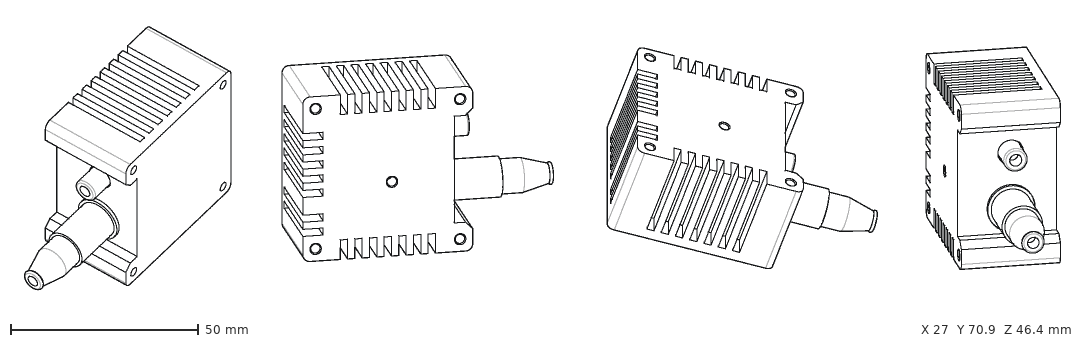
import cadquery as cq

WIDTH = 27.0
SIDE = 46.4
TOTAL_LENGTH = 70.9
CORNER_RADIUS = 2.0

RECESS_DEPTH = 5.0
LIP_HEIGHT = 8.15
LIP_CHAMFER = 2.0

SLOT_COUNT = 7
SLOT_WIDTH = 2.0
SLOT_DEPTH = 5.5
SLOT_ROW_SPAN = 23.95
SLOT_END_WALL = 3.0
BACK_SLOT_SHIFT = 3.0
BACK_SHIFTED_SLOTS = 2

HOLE_DIAMETER = 2.55
HOLE_CHAMFER = 0.3
HOLE_EDGE_OFFSET = 3.5
BLIND_HOLE_DEPTH = 6.0
BLIND_HOLE_FROM_BACK = 24.3
BLIND_HOLE_FROM_TOP = 25.45

FITTING_X = 1.0
BORE_DEPTH = 4.95

SOCKET_FROM_TOP = 15.45
SOCKET_RADIUS = 3.2
SOCKET_LENGTH = 6.6
SOCKET_ROUNDING = 0.5
SOCKET_BORE_RADIUS = 1.6
SOCKET_GAP_RADIUS = 3.5
SOCKET_GAP_DEPTH = 2.0

CABLE_FROM_TOP = 31.0
FLANGE_RADIUS = 6.45
FLANGE_LENGTH = 1.0
SLEEVE_RADIUS = 5.5
SLEEVE_END = 15.2
NECK_RADIUS = 4.75
NECK_END = 21.2
TAPER_TIP_RADIUS = 2.8
BEAD_FACE_RADIUS = 2.55
BEAD_RADIUS = 3.05
BEAD_LENGTH = 1.0
CABLE_BORE_RADIUS = 1.55

HALF = SIDE / 2
FACE_Y = -HALF + RECESS_DEPTH
SLOT_PITCH = SLOT_ROW_SPAN / (SLOT_COUNT - 1)
CABLE_LENGTH = TOTAL_LENGTH - SIDE + RECESS_DEPTH


def make_housing():
    """Rounded block with the front recess cut across its full width."""
    block = cq.Workplane("XY").box(WIDTH, SIDE, SIDE).edges("|X").fillet(CORNER_RADIUS)
    lip_z = HALF - LIP_HEIGHT
    chamfer_z = lip_z + LIP_CHAMFER
    chamfer_y = -HALF + LIP_CHAMFER
    recess = (
        cq.Workplane("YZ")
        .polyline([
            (FACE_Y, lip_z),
            (chamfer_y, lip_z),
            (-HALF, chamfer_z),
            (-HALF, -chamfer_z),
            (chamfer_y, -lip_z),
            (FACE_Y, -lip_z),
        ])
        .close()
        .extrude(WIDTH / 2, both=True)
    )
    return block.cut(recess)


def slot(y, z, size_y, size_z):
    """One slot centred at (y, z), running from the -X face to the end wall."""
    length = WIDTH - SLOT_END_WALL
    return cq.Workplane("XY").box(length, size_y, size_z).translate((-SLOT_END_WALL / 2, y, z))


def cut_slots(body):
    """Matching rows in the top and bottom, and a split row in the back."""
    slot_centre = HALF - SLOT_DEPTH / 2
    for i in range(SLOT_COUNT):
        along = SLOT_ROW_SPAN / 2 - i * SLOT_PITCH
        for side in (1, -1):
            body = body.cut(slot(along, side * slot_centre, SLOT_WIDTH, SLOT_DEPTH))
        shifted = i >= SLOT_COUNT - BACK_SHIFTED_SLOTS
        back_z = along - BACK_SLOT_SHIFT if shifted else along
        body = body.cut(slot(slot_centre, back_z, SLOT_DEPTH, SLOT_WIDTH))
    return body


def screw_hole(y, z, depth):
    """Cutter for a hole sunk from the -X face, with a chamfered mouth."""
    radius = HOLE_DIAMETER / 2
    mouth = radius + HOLE_CHAMFER
    return (
        cq.Workplane("XY")
        .polyline([(0, 0), (0, mouth), (HOLE_CHAMFER, radius), (depth, radius), (depth, 0)])
        .close()
        .revolve(360, (0, 0, 0), (1, 0, 0))
        .translate((-WIDTH / 2, y, z))
    )


def cut_holes(body):
    """Four through holes at the corners and one blind hole near the middle."""
    corner = HALF - HOLE_EDGE_OFFSET
    for y in (corner, -corner):
        for z in (corner, -corner):
            body = body.cut(screw_hole(y, z, WIDTH))
    blind_y = HALF - BLIND_HOLE_FROM_BACK
    blind_z = HALF - BLIND_HOLE_FROM_TOP
    return body.cut(screw_hole(blind_y, blind_z, BLIND_HOLE_DEPTH))


def rod(radius, start, end, end_radius=None):
    """Cylinder or cone about the Y axis, between two distances in front of the recessed face."""
    profile = [(0, -start), (radius, -start), (end_radius or radius, -end), (0, -end)]
    return cq.Workplane("XY").polyline(profile).close().revolve(360, (0, 0, 0), (0, 1, 0))


def place_fitting(fitting, from_top):
    """Move a fitting from the origin onto the recessed face, at a distance below the top."""
    return fitting.translate((FITTING_X, FACE_Y, HALF - from_top))


def make_socket():
    """Short round socket with a rounded rim and a blind bore."""
    socket = rod(SOCKET_RADIUS, -SOCKET_GAP_DEPTH, SOCKET_LENGTH).faces("<Y").edges().fillet(SOCKET_ROUNDING)
    bore = rod(SOCKET_BORE_RADIUS, SOCKET_LENGTH - BORE_DEPTH, SOCKET_LENGTH)
    return place_fitting(socket.cut(bore), SOCKET_FROM_TOP)


def cut_socket_gap(body):
    """Clearance pocket that leaves a narrow ring-shaped gap around the socket."""
    return body.cut(place_fitting(rod(SOCKET_GAP_RADIUS, -SOCKET_GAP_DEPTH, 0), SOCKET_FROM_TOP))


def make_cable_gland():
    """Flange, sleeve, neck and taper in line, ending in a rounded bead with a blind bore."""
    bead_start = CABLE_LENGTH - BEAD_LENGTH
    bead_middle = (BEAD_RADIUS, -(bead_start + CABLE_LENGTH) / 2)
    bead = (
        cq.Workplane("XY")
        .moveTo(0, -bead_start)
        .lineTo(BEAD_FACE_RADIUS, -bead_start)
        .threePointArc(bead_middle, (BEAD_FACE_RADIUS, -CABLE_LENGTH))
        .lineTo(0, -CABLE_LENGTH)
        .close()
        .revolve(360, (0, 0, 0), (0, 1, 0))
    )
    gland = (
        rod(FLANGE_RADIUS, 0, FLANGE_LENGTH)
        .union(rod(SLEEVE_RADIUS, 0, SLEEVE_END))
        .union(rod(NECK_RADIUS, 0, NECK_END))
        .union(rod(NECK_RADIUS, NECK_END, bead_start, TAPER_TIP_RADIUS))
        .union(bead)
        .cut(rod(CABLE_BORE_RADIUS, CABLE_LENGTH - BORE_DEPTH, CABLE_LENGTH))
    )
    return place_fitting(gland, CABLE_FROM_TOP)


housing = cut_socket_gap(cut_holes(cut_slots(make_housing())))
result = housing.union(make_socket()).union(make_cable_gland())